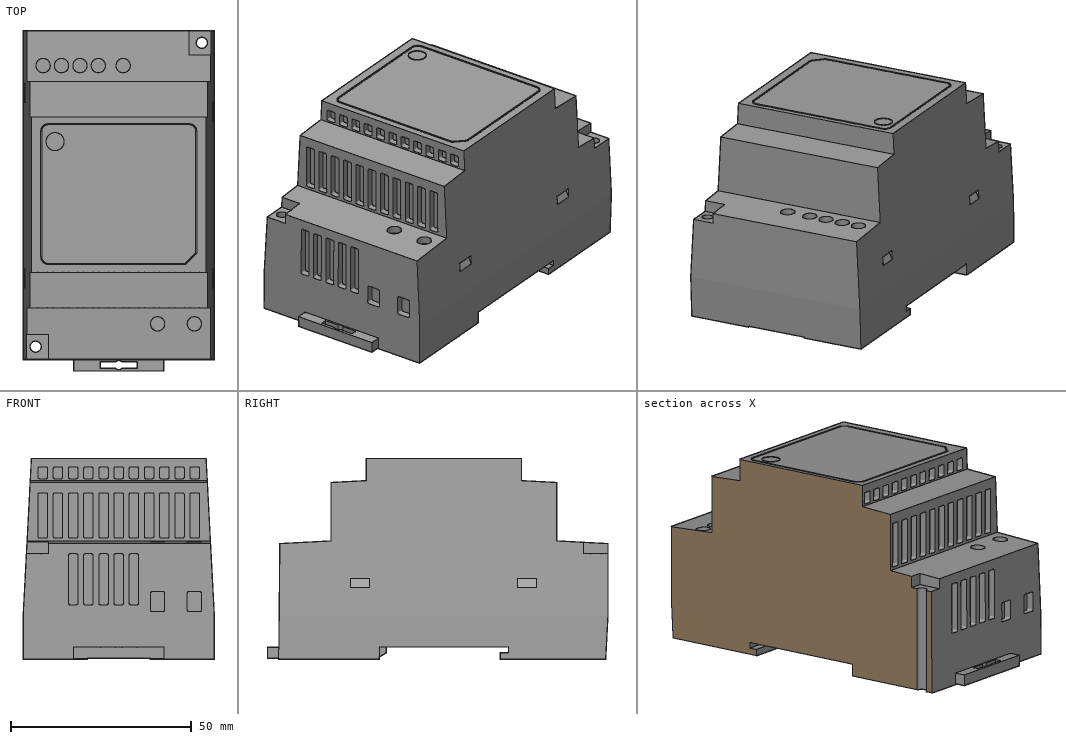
import cadquery as cq
import math

WIDTH = 53.0
DEPTH = 90.9
HEIGHT = 55.6
OVERALL_DEPTH = 94.3
DRAFT_SLOPE = math.tan(math.radians(3.0))
BASE_HEIGHT = 12.0
FRONT_LEAN = 0.3

TOP_DEPTH = 43.0
MIDDLE_DEPTH = 62.6
MIDDLE_SHOULDER_Z = 49.5
LOWER_SHOULDER_Z = 32.8

RAIL_HALF = 17.8
RAIL_HEIGHT = 3.4
HOOK_LENGTH = 2.3
HOOK_HEIGHT = 1.9

CHANNEL_WIDTH = 17.35
CHANNEL_DEPTH = 0.3
NOSE_LENGTH = 1.9
NOSE_TIP_Z = 1.8
NOSE_ROOT_Z = 0.7
HANDLE_WIDTH = 25.0
HANDLE_SLOT_LENGTH = 10.2
HANDLE_SLOT_WIDTH = 1.7
HANDLE_SLOT_DIAMETER = 2.45

RECESS_DEPTH = 1.9
CORNER_RADIUS = 0.5
VENT_COUNT = 11
VENT_ROW_LENGTH = 42.1
VENT_PITCH = VENT_ROW_LENGTH / (VENT_COUNT - 1)
VENT_WIDTH = 2.6
TOP_VENT_Z = (50.0, 53.3)
MIDDLE_VENT_Z = (33.6, 46.1)
LOWER_VENT_Z = (15.1, 29.2)
LOWER_VENT_STEPS = range(-3, 2)

SCREW_DIAMETER = 4.0
SCREW_Y = 35.7
SCREW_DEPTH = 2.3
TERMINAL_PITCH = 5.1
FRONT_TERMINALS_X = (10.75, 20.9)
REAR_ROW_START_X = -20.9
REAR_ROW_COUNT = 4
REAR_SINGLE_X = 1.2
WINDOW_WIDTH = 4.0
WINDOW_Z = (13.2, 18.8)

CORNER_INNER_X = 19.4
CORNER_INNER_Y = 38.7
CORNER_FLOOR_Z = 29.2
MOUNT_X = 23.0
MOUNT_Y = 42.1
MOUNT_DIAMETER = 3.0

NOTCH_Z = (19.9, 22.4)
NOTCH_LENGTH = 5.3
NOTCH_DEPTH = 1.1
FRONT_NOTCH_Y = -23.2
LEFT_REAR_NOTCH_Y = 28.1
RIGHT_REAR_NOTCH_Y = 23.0

LABEL_WIDTH = 43.2
LABEL_DEPTH = 38.9
LABEL_Y = 0.2
LABEL_RADIUS = 2.1
LABEL_CHAMFER = 3.1
GROOVE_WIDTH = 0.3
GROOVE_DEPTH = 0.3
LAMP_DIAMETER = 5.0
LAMP_X = -17.6
LAMP_Y = 14.7
LAMP_DEPTH = 0.2


def block(x_range, y_range, z_range):
    """Box given by its limits along the three axes."""
    size = [high - low for low, high in (x_range, y_range, z_range)]
    return cq.Workplane("XY").box(*size, centered=False).translate((x_range[0], y_range[0], z_range[0]))


def cylinder(diameter, x, y, z_range):
    """Upright cylinder between two heights."""
    low, high = z_range
    return cq.Workplane("XY").circle(diameter / 2).extrude(high - low).translate((x, y, low))


def extrude_along_x(points, width):
    """Prism centred on X = 0 from an outline of (y, z) points."""
    return cq.Workplane("YZ").polyline(points).close().extrude(width / 2, both=True)


def shoulder_edge(shoulder_z, inner_depth, outer_depth):
    """Height of the outer edge of a sloping shoulder."""
    return shoulder_z - (outer_depth - inner_depth) / 2 * DRAFT_SLOPE


def housing():
    """Stepped side outline trimmed by the drafted end outline."""
    top = TOP_DEPTH / 2
    middle = MIDDLE_DEPTH / 2
    lower = DEPTH / 2
    middle_edge_z = shoulder_edge(MIDDLE_SHOULDER_Z, TOP_DEPTH, MIDDLE_DEPTH)
    lower_edge_z = shoulder_edge(LOWER_SHOULDER_Z, MIDDLE_DEPTH, DEPTH)
    side = extrude_along_x(
        [
            (-lower - FRONT_LEAN, 0),
            (-lower, lower_edge_z),
            (-middle, LOWER_SHOULDER_Z),
            (-middle, middle_edge_z),
            (-top, MIDDLE_SHOULDER_Z),
            (-top, HEIGHT),
            (top, HEIGHT),
            (top, MIDDLE_SHOULDER_Z),
            (middle, middle_edge_z),
            (middle, LOWER_SHOULDER_Z),
            (lower, lower_edge_z),
            (lower, BASE_HEIGHT),
            (lower - BASE_HEIGHT * DRAFT_SLOPE, 0),
            (RAIL_HALF - HOOK_LENGTH, 0),
            (RAIL_HALF - HOOK_LENGTH, HOOK_HEIGHT),
            (RAIL_HALF, HOOK_HEIGHT),
            (RAIL_HALF, RAIL_HEIGHT),
            (-RAIL_HALF, RAIL_HEIGHT),
            (-RAIL_HALF, 0),
        ],
        WIDTH,
    )
    half = WIDTH / 2
    top_half = half - (HEIGHT - BASE_HEIGHT) * DRAFT_SLOPE
    end = (
        cq.Workplane("XZ")
        .polyline(
            [
                (-half, 0),
                (half, 0),
                (half, BASE_HEIGHT),
                (top_half, HEIGHT),
                (-top_half, HEIGHT),
                (-half, BASE_HEIGHT),
            ]
        )
        .close()
        .extrude(DEPTH, both=True)
    )
    return side.intersect(end)


def wall_recess(x, width, z_range, face_y):
    """Round-cornered recess sunk into a wall that faces -Y."""
    cutter = block(
        (x - width / 2, x + width / 2),
        (face_y - RECESS_DEPTH, face_y + RECESS_DEPTH),
        z_range,
    )
    return cutter.edges("|Y").fillet(CORNER_RADIUS)


def cut_vents_and_windows(body):
    middle_step = VENT_COUNT // 2
    full_row = range(-middle_step, middle_step + 1)
    rows = (
        (full_row, TOP_VENT_Z, TOP_DEPTH),
        (full_row, MIDDLE_VENT_Z, MIDDLE_DEPTH),
        (LOWER_VENT_STEPS, LOWER_VENT_Z, DEPTH),
    )
    for steps, z_range, tier_depth in rows:
        for step in steps:
            body = body.cut(wall_recess(step * VENT_PITCH, VENT_WIDTH, z_range, -tier_depth / 2))
    for x in FRONT_TERMINALS_X:
        body = body.cut(wall_recess(x, WINDOW_WIDTH, WINDOW_Z, -DEPTH / 2))
    return body


def cut_terminal_screws(body):
    rear_row = [REAR_ROW_START_X + i * TERMINAL_PITCH for i in range(REAR_ROW_COUNT)]
    places = [(x, -SCREW_Y) for x in FRONT_TERMINALS_X]
    places += [(x, SCREW_Y) for x in rear_row + [REAR_SINGLE_X]]
    for x, y in places:
        z_range = (LOWER_SHOULDER_Z - SCREW_DEPTH, LOWER_SHOULDER_Z)
        body = body.cut(cylinder(SCREW_DIAMETER, x, y, z_range))
    return body


def cut_mounting_corners(body):
    """Lowered corner with a through hole, front left and rear right."""
    pocket = block(
        (-WIDTH / 2, -CORNER_INNER_X),
        (-DEPTH / 2 - FRONT_LEAN, -CORNER_INNER_Y),
        (CORNER_FLOOR_Z, LOWER_SHOULDER_Z),
    )
    cutter = pocket.union(cylinder(MOUNT_DIAMETER, -MOUNT_X, -MOUNT_Y, (0, HEIGHT)))
    for turn in (0, 180):
        body = body.cut(cutter.rotate((0, 0, 0), (0, 0, 1), turn))
    return body


def cut_side_notches(body):
    """Notches whose floor starts flush at the bottom and runs inward going up."""
    low, high = NOTCH_Z
    wall_low = WIDTH / 2 - (low - BASE_HEIGHT) * DRAFT_SLOPE
    wall_high = WIDTH / 2 - (high - BASE_HEIGHT) * DRAFT_SLOPE
    outline = [
        (wall_low, low),
        (wall_high - NOTCH_DEPTH, high),
        (WIDTH / 2, high),
        (WIDTH / 2, low),
    ]
    places = (
        (-1, FRONT_NOTCH_Y),
        (-1, LEFT_REAR_NOTCH_Y),
        (1, FRONT_NOTCH_Y),
        (1, RIGHT_REAR_NOTCH_Y),
    )
    for side, y in places:
        points = [(side * x, z) for x, z in outline]
        cutter = cq.Workplane("XZ").polyline(points).close().extrude(NOTCH_LENGTH / 2, both=True)
        body = body.cut(cutter.translate((0, y, 0)))
    return body


def label_plate():
    """Rounded plate with one bevelled corner, centred on the top face."""
    plate = cq.Workplane("XY").box(LABEL_WIDTH, LABEL_DEPTH, 2 * GROOVE_DEPTH)
    plate = plate.edges("|Z and (<X or >Y)").fillet(LABEL_RADIUS)
    plate = plate.edges("|Z and (>X and <Y)").chamfer(LABEL_CHAMFER)
    return plate.translate((0, LABEL_Y, HEIGHT))


def cut_label(body):
    plate = label_plate()
    inner = plate.faces(">Z").wires().toPending().offset2D(-GROOVE_WIDTH)
    groove = plate.cut(inner.extrude(-2 * GROOVE_DEPTH, combine=False))
    lamp = cylinder(LAMP_DIAMETER, LAMP_X, LAMP_Y, (HEIGHT - LAMP_DEPTH, HEIGHT))
    return body.cut(groove).cut(lamp)


def clip_handle():
    """Pull tab on the front of the clip, with a screwdriver slot through it."""
    front = DEPTH / 2 - OVERALL_DEPTH
    back = -DEPTH / 2
    z_range = (CHANNEL_DEPTH, RAIL_HEIGHT)
    half = HANDLE_WIDTH / 2
    slot_y = (front + back) / 2
    tab = block((-half, half), (front, back), z_range)
    slot = block(
        (-HANDLE_SLOT_LENGTH / 2, HANDLE_SLOT_LENGTH / 2),
        (slot_y - HANDLE_SLOT_WIDTH / 2, slot_y + HANDLE_SLOT_WIDTH / 2),
        z_range,
    )
    return tab.cut(slot).cut(cylinder(HANDLE_SLOT_DIAMETER, 0, slot_y, z_range))


def clip_nose():
    """Bevelled latch that reaches into the rail recess."""
    points = [
        (-RAIL_HALF, NOSE_ROOT_Z),
        (-RAIL_HALF + NOSE_LENGTH, NOSE_TIP_Z),
        (-RAIL_HALF + NOSE_LENGTH, RAIL_HEIGHT),
        (-RAIL_HALF, RAIL_HEIGHT),
    ]
    return extrude_along_x(points, CHANNEL_WIDTH)


def cut_clip_channel(body):
    channel = block(
        (-CHANNEL_WIDTH / 2, CHANNEL_WIDTH / 2),
        (-DEPTH / 2 - FRONT_LEAN, DEPTH / 2),
        (0, CHANNEL_DEPTH),
    )
    return body.cut(channel)


result = housing()
result = cut_vents_and_windows(result)
result = cut_terminal_screws(result)
result = cut_mounting_corners(result)
result = cut_side_notches(result)
result = cut_label(result)
result = cut_clip_channel(result)
result = result.union(clip_handle()).union(clip_nose())